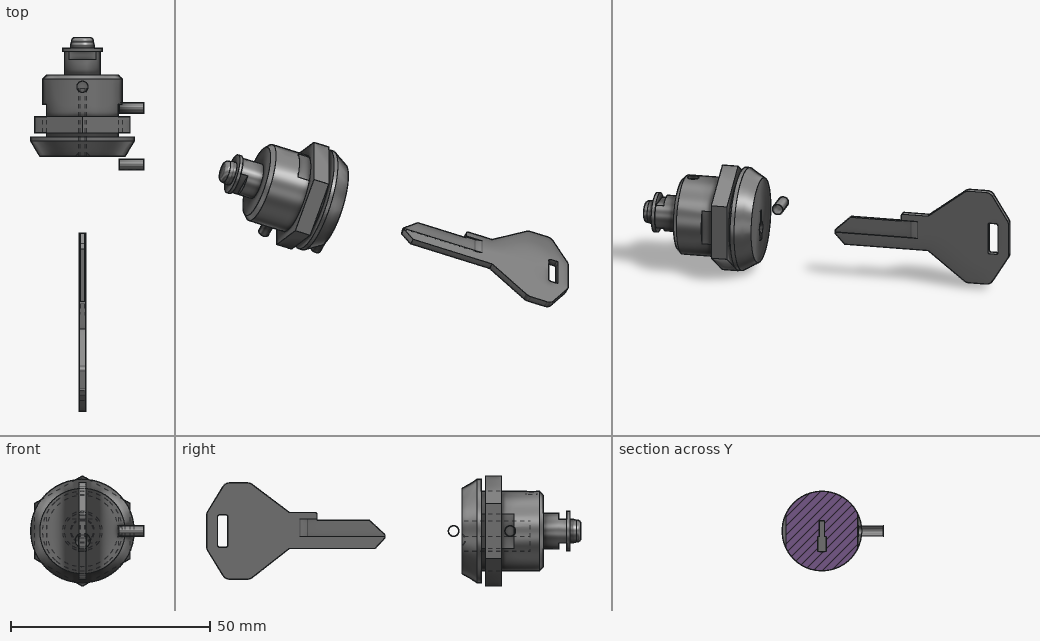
import cadquery as cq
import math


HEAD_DIAMETER = 26.0
HEAD_FACE_DIAMETER = 21.4
HEAD_DEPTH = 4.9
HEAD_RIM = 1.0
BARREL_DIAMETER = 20.0
BARREL_LENGTH = 15.6
BARREL_CHAMFER = 1.0
FLAT_SPAN = 18.0
FLAT_LENGTH = 8.2
DIMPLE_DIAMETER = 2.8
DIMPLE_Y = 12.6
DIMPLE_FLOOR_Z = 9.2

SHAFT_DIAMETER = 9.0
SHAFT_ROUND_LENGTH = 3.85
SHAFT_FLAT_LENGTH = 2.0
SHAFT_FLAT_SPAN = 6.0
COLLAR_DIAMETER = 10.0
COLLAR_THICKNESS = 0.8
STUD_DIAMETER = 6.0
STUD_STRAIGHT_LENGTH = 0.75
STUD_TAPER_LENGTH = 0.8
STUD_TAPER_DIAMETER = 5.5
STUD_TIP_LENGTH = 1.1
STUD_TIP_DIAMETER = 3.9

KEYWAY_WIDE_WIDTH = 2.1
KEYWAY_NARROW_WIDTH = 1.2
KEYWAY_TOP_Z = 2.5
KEYWAY_ROUND_DIAMETER = 10.3
KEYWAY_MOUTH_DIAMETER = 3.8
KEYWAY_MOUTH_X = 0.1
KEYWAY_MOUTH_Z = -2.35

NUT_ACROSS_CORNERS = 27.7
NUT_THICKNESS = 4.0
NUT_GAP = 1.0

KEY_THICKNESS = 1.7
KEY_TIP_Y = -24.15
KEY_END_Y = -69.0
BLADE_TOP_Z = 2.7
BLADE_BOTTOM_Z = -4.4
BLADE_TOP_START_Y = -28.1
BLADE_BOTTOM_START_Y = -26.7
TIP_TOP_Z = -0.9
TIP_BOTTOM_Z = -1.7
STOP_Y = -41.25
STOP_TOP_Z = 4.7
STOP_FILLET = 0.5
BOW_START_Y = -48.2
BOW_FRONT_Y = -58.1
BOW_BACK_Y = -64.3
BOW_HALF_HEIGHT = 12.1
BOW_END_HALF_HEIGHT = 4.5
BOW_FILLET = 2.0
RING_SLOT_Y = -64.9
RING_SLOT_WIDTH = 2.5
RING_SLOT_HEIGHT = 8.1
RING_SLOT_FILLET = 0.5
GROOVE_DEPTH = 0.33
GROOVE_BOTTOM_Z = -1.4
GROOVE_TOP_Z = 3.0
GROOVE_RAMP_START_Y = -43.7
GROOVE_END_Y = -45.5

PIN_DIAMETER = 2.7
PIN_WALL = 0.1
PIN_LENGTH = 6.2
PIN_START_X = 9.2
PIN_POSITIONS_Y = [7.2, -7.0]


def y_cylinder(diameter, start_y, length):
    """Cylinder on the lock axis that runs toward +Y from start_y."""
    base = cq.Workplane("XZ", origin=(0, start_y, 0))
    return base.circle(diameter / 2).extrude(-length)


def box_between(x_span, y_range, z_range):
    """Box centred on X = 0 between two Y places and two Z places."""
    outline = cq.Workplane("YZ", origin=(-x_span / 2, 0, 0))
    outline = outline.moveTo(y_range[0], z_range[0]).lineTo(y_range[1], z_range[0])
    outline = outline.lineTo(y_range[1], z_range[1]).lineTo(y_range[0], z_range[1])
    return outline.close().extrude(x_span)


def pin_blank(y):
    """Solid cylinder with the outer shape of the pin at the given Y."""
    base = cq.Workplane("YZ", origin=(PIN_START_X, y, 0))
    return base.circle(PIN_DIAMETER / 2).extrude(PIN_LENGTH)


def make_head():
    profile = [
        (0, -HEAD_DEPTH),
        (HEAD_FACE_DIAMETER / 2, -HEAD_DEPTH),
        (HEAD_DIAMETER / 2, -HEAD_RIM),
        (HEAD_DIAMETER / 2, 0),
        (0, 0),
    ]
    return cq.Workplane("XY").polyline(profile).close().revolve(360, (0, 0), (0, 1))


def make_barrel():
    barrel = y_cylinder(BARREL_DIAMETER, 0, BARREL_LENGTH)
    barrel = barrel.faces(">Y").chamfer(BARREL_CHAMFER)
    narrow = box_between(FLAT_SPAN, (0, FLAT_LENGTH), (-BARREL_DIAMETER, BARREL_DIAMETER))
    rear = y_cylinder(BARREL_DIAMETER, FLAT_LENGTH, BARREL_LENGTH - FLAT_LENGTH)
    barrel = barrel.intersect(narrow.union(rear))
    dimple = cq.Workplane("XY", origin=(0, DIMPLE_Y, DIMPLE_FLOOR_Z))
    return barrel.cut(dimple.circle(DIMPLE_DIAMETER / 2).extrude(BARREL_DIAMETER))


def make_stud(start_y):
    """Stud with a straight root, a slight taper and a rounded tip."""
    root_radius = STUD_DIAMETER / 2
    taper_radius = STUD_TAPER_DIAMETER / 2
    tip_radius = STUD_TIP_DIAMETER / 2
    taper_start = start_y + STUD_STRAIGHT_LENGTH
    tip_start = taper_start + STUD_TAPER_LENGTH
    end_y = tip_start + STUD_TIP_LENGTH
    round_radius = taper_radius - tip_radius
    diagonal = math.sqrt(0.5)
    round_middle = (tip_radius + round_radius * diagonal, tip_start + STUD_TIP_LENGTH * diagonal)
    profile = cq.Workplane("XY").moveTo(0, start_y).lineTo(root_radius, start_y)
    profile = profile.lineTo(root_radius, taper_start).lineTo(taper_radius, tip_start)
    profile = profile.threePointArc(round_middle, (tip_radius, end_y)).lineTo(0, end_y)
    return profile.close().revolve(360, (0, 0), (0, 1))


def make_cam_shaft():
    flat_start = BARREL_LENGTH + SHAFT_ROUND_LENGTH
    collar_start = flat_start + SHAFT_FLAT_LENGTH
    stud_start = collar_start + COLLAR_THICKNESS
    half_flat = SHAFT_FLAT_SPAN / 2
    flattened = y_cylinder(SHAFT_DIAMETER, flat_start, SHAFT_FLAT_LENGTH).intersect(
        box_between(SHAFT_DIAMETER, (flat_start, collar_start), (-half_flat, half_flat))
    )
    shaft = y_cylinder(SHAFT_DIAMETER, BARREL_LENGTH, SHAFT_ROUND_LENGTH).union(flattened)
    shaft = shaft.union(y_cylinder(COLLAR_DIAMETER, collar_start, COLLAR_THICKNESS))
    return shaft.union(make_stud(stud_start))


def make_keyway():
    """Opening in the head face, deep enough for the blade up to its stop."""
    back_y = -HEAD_DEPTH + KEY_TIP_Y - STOP_Y
    depth = (-HEAD_DEPTH, back_y)
    keyway = box_between(KEYWAY_WIDE_WIDTH, depth, (-KEYWAY_ROUND_DIAMETER, GROOVE_BOTTOM_Z))
    keyway = keyway.intersect(y_cylinder(KEYWAY_ROUND_DIAMETER, -HEAD_DEPTH, back_y + HEAD_DEPTH))
    narrow = box_between(KEYWAY_NARROW_WIDTH, depth, (GROOVE_BOTTOM_Z, KEYWAY_TOP_Z))
    radius = KEYWAY_MOUTH_DIAMETER / 2
    mouth = cq.Solid.makeCone(
        radius,
        0,
        radius,
        pnt=cq.Vector(KEYWAY_MOUTH_X, -HEAD_DEPTH, KEYWAY_MOUTH_Z),
        dir=cq.Vector(0, 1, 0),
    )
    return keyway.union(narrow).union(cq.Workplane(mouth))


def make_lock():
    lock = make_head().union(make_barrel()).union(make_cam_shaft())
    lock = lock.cut(make_keyway())
    for y in PIN_POSITIONS_Y:
        lock = lock.cut(pin_blank(y))
    return lock


def make_nut():
    base = cq.Workplane("XZ", origin=(0, NUT_GAP, 0)).transformed(rotate=(0, 0, 90))
    nut = base.polygon(6, NUT_ACROSS_CORNERS).extrude(-NUT_THICKNESS)
    return nut.cut(y_cylinder(BARREL_DIAMETER, NUT_GAP, NUT_THICKNESS))


def make_key():
    outline = [
        (KEY_TIP_Y, TIP_TOP_Z),
        (BLADE_TOP_START_Y, BLADE_TOP_Z),
        (STOP_Y, BLADE_TOP_Z),
        (STOP_Y, STOP_TOP_Z),
        (BOW_START_Y, STOP_TOP_Z),
        (BOW_FRONT_Y, BOW_HALF_HEIGHT),
        (BOW_BACK_Y, BOW_HALF_HEIGHT),
        (KEY_END_Y, BOW_END_HALF_HEIGHT),
        (KEY_END_Y, -BOW_END_HALF_HEIGHT),
        (BOW_BACK_Y, -BOW_HALF_HEIGHT),
        (BOW_FRONT_Y, -BOW_HALF_HEIGHT),
        (BOW_START_Y, BLADE_BOTTOM_Z),
        (BLADE_BOTTOM_START_Y, BLADE_BOTTOM_Z),
        (KEY_TIP_Y, TIP_BOTTOM_Z),
    ]
    key = cq.Workplane("YZ", origin=(-KEY_THICKNESS / 2, 0, 0))
    key = key.polyline(outline).close().extrude(KEY_THICKNESS)

    bow_region = cq.selectors.BoxSelector(
        (-KEY_THICKNESS, 2 * KEY_END_Y, -2 * BOW_HALF_HEIGHT),
        (KEY_THICKNESS, (BOW_FRONT_Y + BOW_START_Y) / 2, 2 * BOW_HALF_HEIGHT),
    )
    key = key.edges("|X").edges(bow_region).fillet(BOW_FILLET)
    stop_corner = cq.selectors.NearestToPointSelector((0, STOP_Y, STOP_TOP_Z))
    key = key.edges("|X").edges(stop_corner).fillet(STOP_FILLET)

    ring_slot = cq.Workplane("XY").box(2 * KEY_THICKNESS, RING_SLOT_WIDTH, RING_SLOT_HEIGHT)
    ring_slot = ring_slot.edges("|X").fillet(RING_SLOT_FILLET).translate((0, RING_SLOT_Y, 0))
    key = key.cut(ring_slot)
    return key.cut(make_blade_groove(1)).cut(make_blade_groove(-1))


def make_blade_groove(side):
    """Groove along one side of the blade; it ramps out to the surface near the bow."""
    surface_x = side * KEY_THICKNESS / 2
    floor_x = side * (KEY_THICKNESS / 2 - GROOVE_DEPTH)
    outline = [
        (surface_x, KEY_TIP_Y),
        (floor_x, KEY_TIP_Y),
        (floor_x, GROOVE_RAMP_START_Y),
        (surface_x, GROOVE_END_Y),
    ]
    base = cq.Workplane("XY", origin=(0, 0, GROOVE_BOTTOM_Z))
    return base.polyline(outline).close().extrude(GROOVE_TOP_Z - GROOVE_BOTTOM_Z)


def make_pin(y):
    bore = cq.Workplane("YZ", origin=(PIN_START_X, y, 0))
    bore = bore.circle(PIN_DIAMETER / 2 - PIN_WALL).extrude(PIN_LENGTH)
    return pin_blank(y).cut(bore)


lock = make_lock()
nut = make_nut()
key = make_key()
pins = [make_pin(y) for y in PIN_POSITIONS_Y]

result = cq.Compound.makeCompound([lock.val(), nut.val(), key.val(), *[pin.val() for pin in pins]])